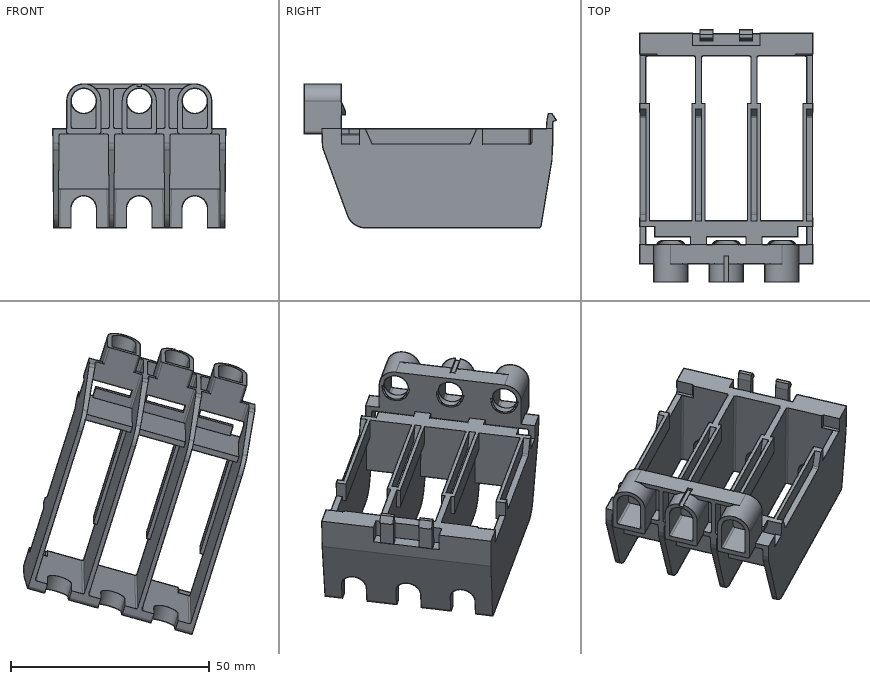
import cadquery as cq

WIDTH = 43.6
HEIGHT = 36.3
DECK_Z = 25.05
PITCH = 14.0
BAYS = 3
WALL = 1.6
WALL_DRAFT = 0.22
REAR_Y = 58.1
CORNER_R = 0.45
OVERCUT = 0.65

BEND_Z = 20.5
BEND_R = 5.1
FRONT_FOOT_Y = 7.5
FRONT_FOOT_R = 4.95
REAR_BEND_Y = 57.95
REAR_BEND_Z = 17.3
REAR_FOOT_Y = 55.1
REAR_FOOT_R = 0.75

DECK_THICKNESS = 1.35
BAR_BACK_Y = 4.85
FLANGE_FRONT_Y = 6.8
FLANGE_WIDTH = 36.1
TAB_WIDTH = 4.1
PANEL_FRONT_Y = 9.4
PANEL_BACK_Y = 10.95
PANEL_BOTTOM_Z = 9.8

BLOCK_FRONT_Y = 52.4
ARCH_R = 3.2
ARCH_TOP_Z = 8.1
NOTCH_WIDTH = 16.9
NOTCH_FRONT_Y = 55.1
NOTCH_DEPTH = 4.45
RELIEF_INNER_X = 17.2
RELIEF_DEPTH = 0.45
RELIEF_CHAMFER = 0.4

HOOK_WIDTH = 3.4
HOOK_SPACING = 10.0
HOOK_RISE = 3.8
HOOK_TIP_Y = 59.0
HOOK_FOOT_Y = 56.15
HOOK_FRONT_Y = 56.6
HOOK_TOP_FRONT_Y = 57.0
HOOK_TOP_BACK_Y = 57.9
BARB_RISE = 2.1
BARB_UNDERCUT = 0.4

RAIL_PROUD = 0.9
RAIL_BACK_Y = 40.45
RAIL_DEPTH = 5.1
SLOT_DEPTH = 3.95
SLOT_BACK_Y = 39.0
SLOT_FRONT_Y = 10.8
SLOT_SLANT = 1.8

LUG_WIDTH = 8.6
LUG_FRONT_Y = -4.6
LUG_BORE_DIAMETER = 6.3
LUG_BACK_WALL = 0.75
LIP_R = 3.55
LIP_BACK_Y = 5.9
LIP_SLOPE_TOP_Z = DECK_Z + 6.7
LIP_SLOPE_FOOT_Z = DECK_Z + 4.25
RIB_WIDTH = 1.1
POCKET_TOP_Z = DECK_Z + 10.05
POCKET_BACK_WALL = 1.0
GROOVE_WIDTH = 1.2
GROOVE_DEPTH = 0.65
GROOVE_BACK_Y = 2.05

BAY_X = [PITCH * (i - (BAYS - 1) / 2) for i in range(BAYS)]
WALL_X = [PITCH * (i - BAYS / 2) for i in range(BAYS + 1)]
INNER_WALL_X = WALL_X[1:-1]
BAY_WIDTH = PITCH - WALL
HALF_WIDTH = WIDTH / 2
OUTER_WALL_INNER_X = BAY_X[-1] + BAY_WIDTH / 2
DECK_UNDER_Z = DECK_Z - DECK_THICKNESS
RAIL_LIMIT_X = OUTER_WALL_INNER_X + WALL / 2
SLOT_FLOOR_Z = DECK_Z - SLOT_DEPTH
NOTCH_FLOOR_Z = DECK_Z - NOTCH_DEPTH
LUG_R = LUG_WIDTH / 2
LUG_BORE_R = LUG_BORE_DIAMETER / 2
LUG_PLATE_Y = BAR_BACK_Y - LUG_BACK_WALL
LUG_AXIS_Z = HEIGHT - LUG_R


def block(x0, x1, y0, y1, z0, z1):
    """Axis-aligned box between two opposite corners."""
    return cq.Workplane("XY").box(x1 - x0, y1 - y0, z1 - z0, centered=False).translate((x0, y0, z0))


def along_y(sketch, y0, y1):
    """Sweep the XZ outline drawn by `sketch` from y0 to y1."""
    return sketch(cq.Workplane("XZ", origin=(0, y0, 0))).extrude(y0 - y1)


def along_x(points, x0, x1):
    """Sweep a closed YZ outline from x0 to x1."""
    return cq.Workplane("YZ", origin=(x0, 0, 0)).polyline(points).close().extrude(x1 - x0)


def housing_blank():
    """Full side outline swept across the width, with drafted sides."""
    side = along_x(
        [(0, DECK_Z), (0, BEND_Z), (FRONT_FOOT_Y, 0), (REAR_FOOT_Y, 0),
         (REAR_BEND_Y, REAR_BEND_Z), (REAR_Y, DECK_Z)],
        -HALF_WIDTH, HALF_WIDTH,
    )
    rounds = [(0, BEND_Z, BEND_R), (FRONT_FOOT_Y, 0, FRONT_FOOT_R), (REAR_FOOT_Y, 0, REAR_FOOT_R)]
    for y, z, radius in rounds:
        side = side.edges(cq.NearestToPointSelector((0, y, z))).fillet(radius)
    foot = HALF_WIDTH - WALL_DRAFT
    section = [(-foot, 0), (foot, 0), (HALF_WIDTH, DECK_Z), (-HALF_WIDTH, DECK_Z)]
    return side.intersect(along_y(lambda w: w.polyline(section).close(), 0, REAR_Y))


def bay_cutter(x, y0, y1, top_z):
    """Bay space that widens toward the underside because its walls are drafted."""
    def half_width(z):
        return BAY_WIDTH / 2 + WALL_DRAFT * (DECK_Z - z) / DECK_Z

    low, high = half_width(-OVERCUT), half_width(top_z)
    section = [(x - low, -OVERCUT), (x + low, -OVERCUT), (x + high, top_z), (x - high, top_z)]
    return along_y(lambda w: w.polyline(section).close(), y0, y1)


def open_bays(body):
    """Cut the three bays, leaving the cross panel and the thin deck in front of it."""
    for x in BAY_X:
        rear = bay_cutter(x, PANEL_BACK_Y, BLOCK_FRONT_Y, DECK_Z + OVERCUT)
        body = body.cut(rear.faces(">Y").edges("not |X").fillet(CORNER_R))
        front = bay_cutter(x, -OVERCUT, PANEL_FRONT_Y, DECK_UNDER_Z)
        body = body.cut(front.faces(">Z").edges("|Y").fillet(CORNER_R))
        body = body.cut(bay_cutter(x, PANEL_FRONT_Y, PANEL_BACK_Y, PANEL_BOTTOM_Z))
    return body


def open_deck(body):
    """Windows through the deck between the front bar and the flange."""
    z0, z1 = DECK_UNDER_Z - CORNER_R, DECK_Z + OVERCUT
    tab_sides = [x + side * TAB_WIDTH / 2 for x in INNER_WALL_X for side in (-1, 1)]
    ends = [-OUTER_WALL_INNER_X] + tab_sides + [OUTER_WALL_INNER_X]
    for x0, x1 in zip(ends[0::2], ends[1::2]):
        body = body.cut(block(x0, x1, BAR_BACK_Y, FLANGE_FRONT_Y, z0, z1))
    corner = block(FLANGE_WIDTH / 2, OUTER_WALL_INNER_X, BAR_BACK_Y, PANEL_FRONT_Y, z0, z1)
    return body.cut(corner).cut(corner.mirror("YZ"))


def add_rails(body):
    """Guide rails standing proud of both faces of every wall."""
    for x in WALL_X:
        reach = WALL / 2 + RAIL_PROUD
        x0 = max(x - reach, -RAIL_LIMIT_X)
        x1 = min(x + reach, RAIL_LIMIT_X)
        body = body.union(block(x0, x1, PANEL_FRONT_Y, RAIL_BACK_Y, DECK_Z - RAIL_DEPTH, DECK_Z))
    return body


def wall_slot(x0, x1):
    """Slot cutter with sloped ends and rounded floor corners."""
    profile = [(SLOT_FRONT_Y, DECK_Z), (SLOT_FRONT_Y + SLOT_SLANT, SLOT_FLOOR_Z),
               (SLOT_BACK_Y - SLOT_SLANT, SLOT_FLOOR_Z), (SLOT_BACK_Y, DECK_Z)]
    return along_x(profile, x0, x1).faces("<Z").edges("|X").fillet(CORNER_R)


def cut_wall_tops(body):
    """Slots with sloped ends in every wall, and lowered stretches of the outer walls."""
    for x in INNER_WALL_X:
        body = body.cut(wall_slot(x - WALL / 2, x + WALL / 2))
    x0, x1 = OUTER_WALL_INNER_X, HALF_WIDTH + OVERCUT
    outer_slot = wall_slot(x0, x1)
    body = body.cut(outer_slot).cut(outer_slot.mirror("YZ"))
    for y0, y1 in [(BAR_BACK_Y, PANEL_FRONT_Y), (RAIL_BACK_Y, BLOCK_FRONT_Y)]:
        lowered = block(x0, x1, y0, y1, SLOT_FLOOR_Z, DECK_Z + OVERCUT)
        body = body.cut(lowered).cut(lowered.mirror("YZ"))
    return body


def shape_rear_block(body):
    """Cable arches, the hook notch and the end reliefs of the rear block."""
    arch_axis_z = ARCH_TOP_Z - ARCH_R
    y0, y1 = BLOCK_FRONT_Y - OVERCUT, REAR_Y + OVERCUT
    top = DECK_Z + OVERCUT
    for x in BAY_X:
        arch = block(x - ARCH_R, x + ARCH_R, y0, y1, -OVERCUT, arch_axis_z)
        crown = along_y(lambda w: w.center(x, arch_axis_z).circle(ARCH_R), y0, y1)
        body = body.cut(arch).cut(crown)
    half = NOTCH_WIDTH / 2
    body = body.cut(block(-half, half, NOTCH_FRONT_Y, y1, NOTCH_FLOOR_Z, top))
    relief_back = BLOCK_FRONT_Y + RELIEF_DEPTH
    relief = block(RELIEF_INNER_X, HALF_WIDTH + OVERCUT, y0, relief_back, SLOT_FLOOR_Z, top)
    relief = relief.faces(">Y").edges("<X or <Z").chamfer(RELIEF_CHAMFER)
    return body.cut(relief).cut(relief.mirror("YZ"))


def snap_hook(x):
    """Hook rising from the floor of the notch, its barb facing the rear."""
    barb_z = DECK_Z + BARB_RISE
    top = DECK_Z + HOOK_RISE
    profile = [(HOOK_FOOT_Y, NOTCH_FLOOR_Z), (HOOK_FRONT_Y, barb_z),
               (HOOK_TOP_FRONT_Y, top), (HOOK_TOP_BACK_Y, top),
               (HOOK_TIP_Y, barb_z), (REAR_Y, barb_z - BARB_UNDERCUT), (REAR_Y, NOTCH_FLOOR_Z)]
    return along_x(profile, x - HOOK_WIDTH / 2, x + HOOK_WIDTH / 2)


def lug_blank(x):
    """Round-topped lug."""
    foot = block(x - LUG_R, x + LUG_R, LUG_FRONT_Y, BAR_BACK_Y, DECK_UNDER_Z, LUG_AXIS_Z)
    foot = foot.edges("|Y and <Z").fillet(CORNER_R)
    crown = along_y(lambda w: w.center(x, LUG_AXIS_Z).circle(LUG_R), LUG_FRONT_Y, BAR_BACK_Y)
    return foot.union(crown)


def lug_lip(x):
    """Collar behind the bore, cut off by a slope so only its lower half remains."""
    collar = along_y(lambda w: w.center(x, LUG_AXIS_Z).circle(LIP_R), LUG_PLATE_Y, LIP_BACK_Y)
    keep = along_x(
        [(LUG_PLATE_Y, DECK_Z), (LIP_BACK_Y, DECK_Z), (LIP_BACK_Y, LIP_SLOPE_FOOT_Z),
         (BAR_BACK_Y, LIP_SLOPE_TOP_Z), (LUG_PLATE_Y, LIP_SLOPE_TOP_Z)],
        x - LIP_R, x + LIP_R,
    )
    return collar.intersect(keep)


def lug_hollow(x):
    """Round-topped channel from the front, and the bore through the back wall."""
    channel = block(x - LUG_BORE_R, x + LUG_BORE_R, LUG_FRONT_Y, LUG_PLATE_Y, DECK_Z, LUG_AXIS_Z)
    channel = channel.edges("|Y and <Z").fillet(CORNER_R)
    bore = along_y(lambda w: w.center(x, LUG_AXIS_Z).circle(LUG_BORE_R), LUG_FRONT_Y, LIP_BACK_Y)
    return channel.union(bore)


def lug_row():
    """Three lugs joined by a pocketed web."""
    row = block(BAY_X[0], BAY_X[-1], 0, BAR_BACK_Y, DECK_UNDER_Z, HEIGHT)
    pocket_back = BAR_BACK_Y - POCKET_BACK_WALL
    for x in INNER_WALL_X:
        for side in (-1, 1):
            near = x + side * RIB_WIDTH / 2
            far = x + side * PITCH / 2
            pocket = block(min(near, far), max(near, far), 0, pocket_back, DECK_Z, POCKET_TOP_Z)
            row = row.cut(pocket.edges("|Y").fillet(CORNER_R))
    for x in BAY_X:
        row = row.union(lug_blank(x)).union(lug_lip(x))
    for x in BAY_X:
        row = row.cut(lug_hollow(x))
    half = GROOVE_WIDTH / 2
    return row.cut(block(-half, half, LUG_FRONT_Y, GROOVE_BACK_Y, HEIGHT - GROOVE_DEPTH, HEIGHT))


housing = open_deck(open_bays(housing_blank()))
housing = cut_wall_tops(add_rails(housing))
housing = shape_rear_block(housing)
for hook_x in (-HOOK_SPACING / 2, HOOK_SPACING / 2):
    housing = housing.union(snap_hook(hook_x))
result = housing.union(lug_row())